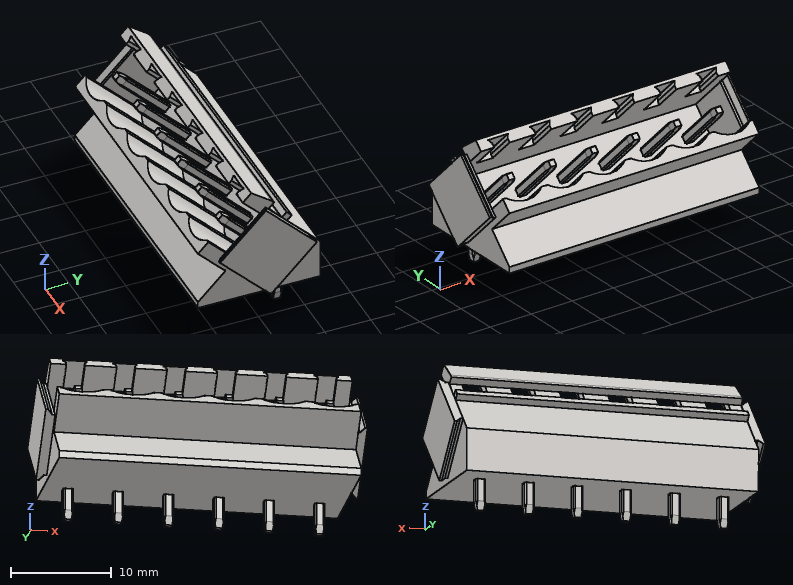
import cadquery as cq
import math

overall_length = 32.48
plate_thickness = 1.0
pole_count = 6
body_length = overall_length - 2 * plate_thickness
pitch = body_length / pole_count

socket_y = 0.55
socket_z = 5.42
base_depth = 13.3

plate_reach = 7.83
plate_rise = 7.05
rear_rise = 3.5
rim_reach = 6.0
floor_reach = -2.53
shoulder_reach = 1.8
upper_inner_rise = 2.7
lower_inner_rise = -2.6
lower_outer_rise = -4.2

lip_back_reach = 2.92
lip_bend_reach = 3.35
lip_back_rise = 4.42
lip_rim_rise = 4.0

flare_start_reach = 1.17
flare_height = 0.1
rib_low_reach = 0.05
rib_high_reach = 0.85
rib_height = 0.75

slot_end_reach = 1.9
slot_mouth_width = 1.9
slot_roof_width = 2.4
slot_roof_rise = rear_rise + flare_height
slot_flare_height = 0.5

scallop_depth = 0.8
scallop_chord = 4.35

plate_rim = 0.25
plate_bevel = 0.45
plate_neck = plate_thickness - plate_rim - plate_bevel
neck_inset = 0.55

pin_width = 1.0
pin_chamfer = 0.15
pin_tip_width = 0.68
pin_tip_length = 0.95
pin_leg_y = 2.9
pin_leg_length = 3.15
pin_rise = -0.4
pin_end_reach = 5.05

diagonal = math.sqrt(0.5)
reach_direction = cq.Vector(0, -diagonal, diagonal)
rise_direction = cq.Vector(0, diagonal, diagonal)


def tilted(reach, rise):
    """(y, z) of a point given by its reach and rise."""
    return (
        socket_y + diagonal * (rise - reach),
        socket_z + diagonal * (reach + rise),
    )


def side_plane(x):
    """Plane across X, with reach and rise as its axes; its normal is -X."""
    origin = (x, socket_y, socket_z)
    return cq.Workplane(cq.Plane(origin=origin, xDir=reach_direction, normal=(-1, 0, 0)))


def mouth_plane(x, reach):
    """Plane square to the reach direction, with X and rise as its axes."""
    origin = (x, *tilted(reach, 0))
    return cq.Workplane(cq.Plane(origin=origin, xDir=(1, 0, 0), normal=reach_direction))


def rear_plane():
    """Plane through the socket centre, parallel to the rear wall, with X and reach as its axes."""
    origin = (0, socket_y, socket_z)
    return cq.Workplane(cq.Plane(origin=origin, xDir=(1, 0, 0), normal=-rise_direction))


pole_positions = [(i - (pole_count - 1) / 2) * pitch for i in range(pole_count)]


def make_base():
    """Wedge-shaped foot that carries the tilted socket."""
    front_y = tilted(rim_reach, lower_outer_rise)[0]
    rear_y = front_y + base_depth
    shoulder_y, shoulder_z = tilted(shoulder_reach, lower_outer_rise)
    crest_y, crest_z = tilted(shoulder_reach, 0)
    back_y, back_z = tilted(0, rear_rise)
    outline = [
        (front_y, 0),
        (front_y, shoulder_z - (shoulder_y - front_y)),
        (shoulder_y, shoulder_z),
        (crest_y, crest_z),
        (back_y, back_z),
        (rear_y, back_z - (rear_y - back_y)),
        (rear_y, 0),
    ]
    return cq.Workplane("YZ").polyline(outline).close().extrude(body_length / 2, both=True)


def make_socket():
    """Solid block of the socket, with the upper lip and the rib on its rear wall."""
    outline = [
        (floor_reach, lower_outer_rise),
        (rim_reach, lower_outer_rise),
        (rim_reach, lip_rim_rise),
        (lip_bend_reach, lip_back_rise),
        (lip_back_reach, lip_back_rise),
        (lip_back_reach, rear_rise + flare_height),
        (flare_start_reach, rear_rise),
        (rib_high_reach, rear_rise),
        (rib_high_reach, rear_rise + rib_height),
        (rib_low_reach, rear_rise + rib_height),
        (rib_low_reach, rear_rise),
        (floor_reach, rear_rise),
    ]
    return side_plane(0).polyline(outline).close().extrude(body_length / 2, both=True)


def make_cavity():
    """Channel along the whole body, closed at both ends by the end plates."""
    outline = [
        (floor_reach, lower_inner_rise),
        (rim_reach, lower_inner_rise),
        (rim_reach, upper_inner_rise),
        (floor_reach, upper_inner_rise),
    ]
    return side_plane(0).polyline(outline).close().extrude(body_length / 2, both=True)


def make_scallop(x):
    """Shallow round flute in the lower wall, from the cavity floor to the rim."""
    half_chord = scallop_chord / 2
    return (
        mouth_plane(x, floor_reach)
        .moveTo(-half_chord, lower_inner_rise)
        .threePointArc((0, lower_inner_rise - scallop_depth), (half_chord, lower_inner_rise))
        .close()
        .extrude(rim_reach - floor_reach)
    )


def make_keying_slot(x):
    """Dovetail slot under the upper lip; it opens through the rear wall below the lip."""
    half_mouth = slot_mouth_width / 2
    half_roof = slot_roof_width / 2
    flare_rise = slot_roof_rise - slot_flare_height
    outline = [
        (-half_mouth, upper_inner_rise),
        (half_mouth, upper_inner_rise),
        (half_mouth, flare_rise),
        (half_roof, slot_roof_rise),
        (-half_roof, slot_roof_rise),
        (-half_mouth, flare_rise),
    ]
    return (
        mouth_plane(x, slot_end_reach)
        .polyline(outline)
        .close()
        .extrude(rim_reach - slot_end_reach)
    )


def make_end_plate(side):
    """Plate on one end of the body; side is -1 for the -X end and +1 for the +X end.

    Its two edges across the reach direction are bevelled down to a neck;
    the two edges across the rise direction are straight.
    """
    rim_half = plate_reach / 2
    neck_half = rim_half - neck_inset
    body_end = side * body_length / 2
    bevel_start = body_end + side * plate_neck
    bevel_end = bevel_start + side * plate_bevel
    outer_face = side * overall_length / 2
    outline = [
        (body_end, -neck_half),
        (bevel_start, -neck_half),
        (bevel_end, -rim_half),
        (outer_face, -rim_half),
        (outer_face, rim_half),
        (bevel_end, rim_half),
        (bevel_start, neck_half),
        (body_end, neck_half),
    ]
    return rear_plane().polyline(outline).close().extrude(plate_rise / 2, both=True)


def make_housing():
    body = make_base().union(make_socket()).cut(make_cavity())
    for x in pole_positions:
        body = body.cut(make_scallop(x)).cut(make_keying_slot(x))
    for side in (-1, 1):
        body = body.union(make_end_plate(side))
    return body


def make_pin_tip(plane):
    """Tapered end of a pin, starting on the given plane."""
    taper_angle = math.degrees(math.atan((pin_width - pin_tip_width) / 2 / pin_tip_length))
    pyramid = plane.rect(pin_width, pin_width).extrude(pin_tip_length, taper=taper_angle)
    bar = (
        plane.rect(pin_width, pin_width)
        .extrude(pin_tip_length)
        .edges(cq.selectors.ParallelDirSelector(plane.plane.zDir))
        .chamfer(pin_chamfer)
    )
    return pyramid.intersect(bar)


def make_pin(x):
    """Solder leg pointing down, mitred into a contact that points out of the socket."""
    leg_end_z = pin_tip_length - pin_leg_length
    contact_end_reach = pin_end_reach - pin_tip_length
    contact_end = tilted(contact_end_reach, pin_rise)
    bend_z = contact_end[1] - (pin_leg_y - contact_end[0])
    path = (
        cq.Workplane("YZ", origin=(x, 0, 0))
        .moveTo(pin_leg_y, leg_end_z)
        .lineTo(pin_leg_y, bend_z)
        .lineTo(*contact_end)
    )
    half_width = pin_width / 2
    half_flat = half_width - pin_chamfer
    section = [
        (half_width, -half_flat),
        (half_width, half_flat),
        (half_flat, half_width),
        (-half_flat, half_width),
        (-half_width, half_flat),
        (-half_width, -half_flat),
        (-half_flat, -half_width),
        (half_flat, -half_width),
    ]
    leg_end_plane = cq.Workplane("XY", origin=(x, pin_leg_y, leg_end_z))
    bar = leg_end_plane.polyline(section).close().sweep(path, transition="right")
    leg_tip = make_pin_tip(leg_end_plane.transformed(rotate=(180, 0, 0)))
    contact_tip = make_pin_tip(mouth_plane(x, contact_end_reach).center(0, pin_rise))
    return bar.union(leg_tip).union(contact_tip)


housing = make_housing()
pins = [make_pin(x) for x in pole_positions]
for pin in pins:
    housing = housing.cut(pin)

result = cq.Compound.makeCompound([housing.val(), *[pin.val() for pin in pins]])